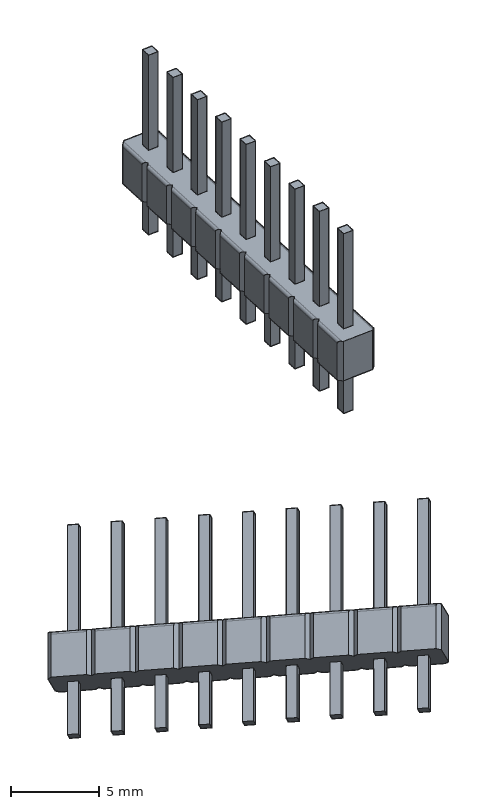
import cadquery as cq

pin_count = 9
total_length = 22.85
body_width = 2.5
body_height = 2.8
corner_cut = 0.25
top_round = 0.18
pin_side = 0.65
pin_offset = -0.05
pin_below = 3.2
total_height = 12.7

pitch = total_length / pin_count
half_width = body_width / 2
first_pin_x = (pitch - total_length) / 2 + pin_offset
pin_positions = [(first_pin_x + i * pitch, 0) for i in range(pin_count)]


def make_rounded_bar():
    """Plain bar standing on Z = 0 with its two long top edges rounded."""
    bar = cq.Workplane("XY").box(total_length, body_width, body_height, centered=(True, True, False))
    return bar.faces(">Z").edges("|X").fillet(top_round)


def make_notches():
    """Diamond prisms that leave a V groove between segments and cut the end corners."""
    notch = cq.Workplane("XY")
    centers = [
        (i * pitch - total_length / 2, side * half_width)
        for i in range(pin_count + 1)
        for side in (-1, 1)
    ]
    for x, y in centers:
        notch = notch.moveTo(x - corner_cut, y)
        notch = notch.lineTo(x, y - corner_cut)
        notch = notch.lineTo(x + corner_cut, y)
        notch = notch.lineTo(x, y + corner_cut)
        notch = notch.close()
    return notch.extrude(body_height)


def make_pins():
    """Square pins running through the body, one near the middle of each segment."""
    return (
        cq.Workplane("XY", origin=(0, 0, -pin_below))
        .pushPoints(pin_positions)
        .rect(pin_side, pin_side)
        .extrude(total_height)
    )


body = make_rounded_bar().cut(make_notches())
result = body.union(make_pins())